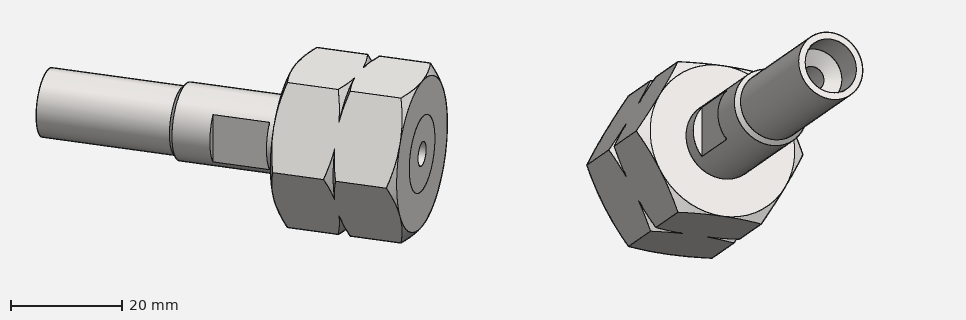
import cadquery as cq
import math

overall_length = 71.25
x_left = -overall_length / 2
x_right = overall_length / 2
passage_radius = 2.3

tube_radius = 6.35
tube_length = 25.4
bore_radius = 5.05
bore_depth = 6.35
cone_half_angle = 59.0
tube_end = x_left + tube_length

shank_radius = 7.2
shank_chamfer_length = 0.8
flats_start = 33.35
flats_length = 10.75
flats_width = 11.0

nut_length = 24.0
nut_left = x_right - nut_length
nut_middle = x_right - nut_length / 2
across_flats = 28.6
across_corners = across_flats / math.cos(math.radians(30))
corner_radius = across_corners / 2
corner_chamfer_length = 1.2
groove_half_width = 1.15
groove_depth = 2.0


def revolve_about_x(outline):
    """Revolve a closed (x, radius) outline a full turn about the X axis."""
    return cq.Workplane("XY").polyline(outline).close().revolve(360, (0, 0, 0), (1, 0, 0))


def make_tube_stub():
    """Tube whose bore narrows through a cone to the passage."""
    cone_start = x_left + bore_depth
    cone_length = (bore_radius - passage_radius) / math.tan(math.radians(cone_half_angle))
    return revolve_about_x([
        (x_left, bore_radius),
        (x_left, tube_radius),
        (tube_end, tube_radius),
        (tube_end, passage_radius),
        (cone_start + cone_length, passage_radius),
        (cone_start, bore_radius),
    ])


def make_flat_cutters():
    """Two blocks that leave parallel flats on the -Y and +Y sides of the shank."""
    block_size = 2 * shank_radius
    block_x = x_left + flats_start + flats_length / 2
    block_y = (flats_width + block_size) / 2
    return (
        cq.Workplane("XY")
        .pushPoints([(block_x, -block_y), (block_x, block_y)])
        .box(flats_length, block_size, block_size)
    )


def make_gland():
    """Shank that butts against the tube stub and runs through the nut."""
    shank = revolve_about_x([
        (tube_end, passage_radius),
        (tube_end, tube_radius),
        (tube_end + shank_chamfer_length, shank_radius),
        (x_right, shank_radius),
        (x_right, passage_radius),
    ])
    return shank.cut(make_flat_cutters())


def make_nut():
    """Hexagon trimmed by a turned envelope that forms the chamfers, the groove and the shank hole."""
    hexagon = cq.Workplane("YZ").workplane(offset=nut_left).polygon(6, across_corners).extrude(nut_length)
    envelope = revolve_about_x([
        (nut_left, shank_radius),
        (nut_left, across_flats / 2),
        (nut_left + corner_chamfer_length, corner_radius),
        (nut_middle - groove_half_width, corner_radius),
        (nut_middle, corner_radius - groove_depth),
        (nut_middle + groove_half_width, corner_radius),
        (x_right - corner_chamfer_length, corner_radius),
        (x_right, across_flats / 2),
        (x_right, shank_radius),
    ])
    return hexagon.intersect(envelope)


tube_stub = make_tube_stub()
gland = make_gland()
nut = make_nut()

result = cq.Compound.makeCompound([tube_stub.val(), gland.solids().val(), nut.solids().val()])